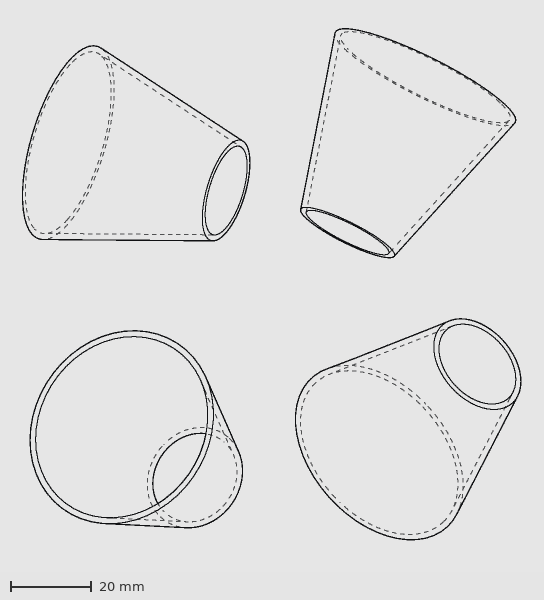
import cadquery as cq

length = 44.0
large_outer_diameter = 50.0
small_outer_diameter = 26.0
wall = 1.55

large_outer_radius = large_outer_diameter / 2
small_outer_radius = small_outer_diameter / 2

wall_section = (
    cq.Workplane("XY")
    .moveTo(0, large_outer_radius)
    .lineTo(length, small_outer_radius)
    .lineTo(length, small_outer_radius - wall)
    .lineTo(0, large_outer_radius - wall)
    .close()
)

result = wall_section.revolve(360, (0, 0, 0), (1, 0, 0))